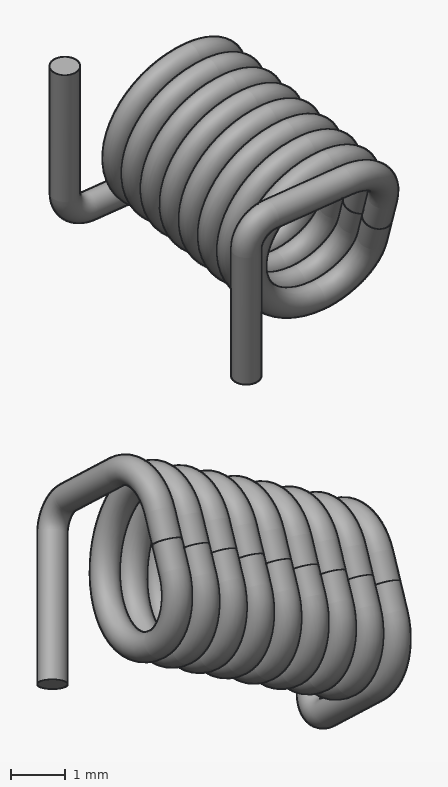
import cadquery as cq
import math

length = 6.1
height = 3.72
wire_diameter = 0.56

coil_count = 8
back_advance = 1.5
corner_radius = 1.06

lead_straight = 1.7
bend_radius = 0.54

axis_height = (height - wire_diameter) / 2
lead_x = (length - wire_diameter) / 2
pitch = 2 * lead_x / (coil_count + back_advance)
leg_y = -(lead_straight + bend_radius)

back_rise = cq.Vector(back_advance * pitch, 0, 2 * axis_height)
rise_direction = back_rise.normalized()
back_straight = back_rise.Length - 2 * corner_radius

backward = cq.Vector(0, 1, 0)
forward = cq.Vector(0, -1, 0)
down = cq.Vector(0, 0, -1)


def quarter_arc(start, leave, arrive, radius):
    """Quarter circle that leaves along one unit direction and arrives along the other."""
    diagonal_factor = math.sin(math.radians(45))
    middle = start + leave * (radius * diagonal_factor) + arrive * (radius * (1 - diagonal_factor))
    end = start + leave * radius + arrive * radius
    return cq.Edge.makeThreePointArc(start, middle, end)


def lower_corner_from(start):
    """Corner from the run along Y into the rise across the back."""
    return quarter_arc(start, backward, rise_direction, corner_radius)


def sweep_wire(edges):
    """Round wire along a chain of tangent edges."""
    path = cq.Wire.assembleEdges(edges)
    start_plane = cq.Plane(origin=edges[0].startPoint(), normal=edges[0].tangentAt(0))
    return cq.Workplane(start_plane).circle(wire_diameter / 2).sweep(cq.Workplane(path))


def make_coil(seam_x):
    """One full turn, from its seam at the middle of the back to the next seam."""
    seam = cq.Vector(seam_x, corner_radius, 0)
    next_seam = seam + cq.Vector(pitch, 0, 0)
    top = cq.Vector(seam_x, 0, 0) + back_rise / 2
    bottom = cq.Vector(seam_x + pitch, 0, 0) - back_rise / 2

    front_radius = (top - bottom).Length / 2
    front = (top + bottom) / 2 + forward * front_radius

    upper_corner_start = seam + rise_direction * (back_straight / 2)
    upper_corner = quarter_arc(upper_corner_start, rise_direction, forward, corner_radius)
    lower_corner = lower_corner_from(bottom)
    return sweep_wire([
        cq.Edge.makeLine(seam, upper_corner_start),
        upper_corner,
        cq.Edge.makeThreePointArc(top, front, bottom),
        lower_corner,
        cq.Edge.makeLine(lower_corner.endPoint(), next_seam),
    ])


def make_lead():
    """Left lead: upright leg, bend, run along Y and the first half of the rise at the back."""
    leg_top = cq.Vector(-lead_x, leg_y, height / 2)
    leg_bottom = cq.Vector(-lead_x, leg_y, bend_radius - axis_height)
    bend = quarter_arc(leg_bottom, down, backward, bend_radius)
    winding_start = cq.Vector(-lead_x, 0, -axis_height)
    corner = lower_corner_from(winding_start)
    first_seam = winding_start + backward * corner_radius + back_rise / 2
    return sweep_wire([
        cq.Edge.makeLine(leg_top, leg_bottom),
        bend,
        cq.Edge.makeLine(bend.endPoint(), winding_start),
        corner,
        cq.Edge.makeLine(corner.endPoint(), first_seam),
    ])


first_seam_x = -lead_x + back_rise.x / 2
coils = [make_coil(first_seam_x + index * pitch) for index in range(coil_count)]

left_lead = make_lead()
right_lead = left_lead.rotate((0, 0, 0), (0, 1, 0), 180)

result = cq.Compound.makeCompound([
    left_lead.val(),
    *[coil.val() for coil in coils],
    right_lead.val(),
])